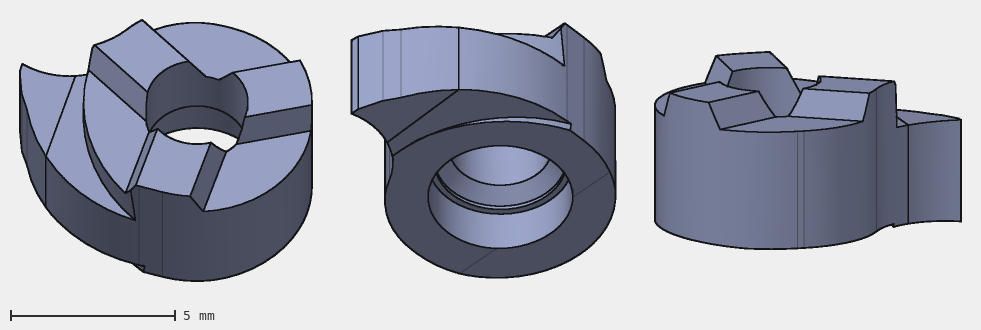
import cadquery as cq
import math


body_radius = 3.5
body_height = 4.46
lug_height = 0.8
shoulder_z = body_height - lug_height

lug_count = 3
lug_top_width = 1.70
lug_base_width = 2.46
first_lug_angle = -90

bore_radius = 1.55
recess_top_z = 2.08
recess_radius = 2.0
cone_end_z = recess_top_z - (recess_radius - bore_radius)
mouth_radius = 2.2
mouth_top_z = 1.49

tip_x, tip_y = -5.8, 0.735
tip_bottom_z = -0.14
tip_top_z = 3.04
clearance_points = [(-5.79, 0.465), (-5.49, -0.29), (-5.19, -0.74)]
back_end_x = -0.76
neck_start_x = -0.2
neck_radius = 3.04
gullet_radius = 2.58
split_x = -4.13

flank_slope_x = 0.032
flank_slope_y = 0.0657
wall_center_x, wall_center_y = 1.40, 1.09
upper_wall_radius = 5.12
lower_wall_radius = 5.0

relief_start_x = 1.5
relief_depth = 0.09

margin = 10.0


def polar(center, radius, angle):
    return (center[0] + radius * math.cos(angle), center[1] + radius * math.sin(angle))


def outline():
    """Plan shape: a round body drawn out into a hooked tooth."""
    neck_center = (neck_start_x, body_radius - neck_radius)
    tip_dx = tip_x - neck_center[0]
    tip_dy = tip_y - neck_center[1]
    tip_distance = math.hypot(tip_dx, tip_dy)
    gullet_distance = neck_radius + gullet_radius
    cos_offset = (tip_distance**2 + gullet_distance**2 - gullet_radius**2) / (
        2 * tip_distance * gullet_distance
    )
    gullet_angle = math.atan2(tip_dy, tip_dx) - math.acos(cos_offset)
    gullet_center = polar(neck_center, gullet_distance, gullet_angle)
    neck_end = polar(neck_center, neck_radius, gullet_angle)
    neck_middle = polar(neck_center, neck_radius, (math.pi / 2 + gullet_angle) / 2)
    tip_angle = math.atan2(tip_y - gullet_center[1], tip_x - gullet_center[0])
    gullet_middle = polar(gullet_center, gullet_radius, (gullet_angle - math.pi + tip_angle) / 2)

    back_start_x, back_start_y = clearance_points[-1]
    run = back_end_x - back_start_x
    rise = back_start_y + body_radius
    back_radius = (run**2 + rise**2) / (2 * rise)
    back_center = (back_end_x, back_radius - body_radius)
    back_angle = math.atan2(back_start_y - back_center[1], back_start_x - back_center[0])
    back_middle = polar(back_center, back_radius, (back_angle - math.pi / 2) / 2)

    return (
        cq.Workplane("XY", origin=(0, 0, tip_bottom_z))
        .moveTo(tip_x, tip_y)
        .lineTo(*clearance_points[0])
        .lineTo(*clearance_points[1])
        .lineTo(*clearance_points[2])
        .threePointArc(back_middle, (back_end_x, -body_radius))
        .lineTo(0, -body_radius)
        .threePointArc((body_radius, 0), (0, body_radius))
        .lineTo(neck_start_x, body_radius)
        .threePointArc(neck_middle, neck_end)
        .threePointArc(gullet_middle, (tip_x, tip_y))
        .close()
    )


def lug(angle):
    """Tapered radial bar, seated on the shoulder and running out from the axis."""
    profile = [
        (-lug_base_width / 2, shoulder_z),
        (lug_base_width / 2, shoulder_z),
        (lug_top_width / 2, body_height),
        (-lug_top_width / 2, body_height),
    ]
    bar = cq.Workplane("YZ").polyline(profile).close().extrude(margin)
    return bar.rotate((0, 0, 0), (0, 0, 1), angle)


def flank_workplane(tip_z, side):
    """Plane through the tip, facing up (side = 1) or down (side = -1)."""
    drop = flank_slope_x * (wall_center_x - tip_x) - flank_slope_y * (wall_center_y - tip_y)
    origin = (wall_center_x, wall_center_y, tip_z - side * drop)
    normal = (flank_slope_x, -flank_slope_y, side)
    return cq.Workplane(cq.Plane(origin=origin, xDir=(1, 0, -side * flank_slope_x), normal=normal))


def flank_cutter(tip_z, side, wall_radius):
    plane = flank_workplane(tip_z, side)
    outside = plane.rect(2 * margin, 2 * margin).extrude(margin)
    return outside.cut(plane.circle(wall_radius).extrude(margin))


def underside_trim():
    """Levels the underside inside the lower flank wall."""
    core = flank_workplane(tip_bottom_z, -1).circle(lower_wall_radius).extrude(margin, both=True)
    below = cq.Workplane("XY").rect(2 * margin, 2 * margin).extrude(-margin)
    return core.intersect(below)


def underside_relief():
    """Thin wedge cut away along the underside toward +X."""
    profile = [(relief_start_x, 0), (body_radius, relief_depth), (body_radius, 0)]
    return cq.Workplane("XZ").polyline(profile).close().extrude(margin, both=True)


def bore():
    """Stepped bore: plain at the top, coned out to the recess and its wider mouth."""
    profile = [
        (0, tip_bottom_z),
        (mouth_radius, tip_bottom_z),
        (mouth_radius, mouth_top_z),
        (recess_radius, mouth_top_z),
        (recess_radius, cone_end_z),
        (bore_radius, recess_top_z),
        (bore_radius, body_height),
        (0, body_height),
    ]
    return cq.Workplane("XZ").polyline(profile).close().revolve(360, (0, 0, 0), (0, 1, 0))


def cutter_blank():
    """Holder and tooth tip together, before they are parted."""
    blank = outline().extrude(shoulder_z - tip_bottom_z)
    for index in range(lug_count):
        blank = blank.union(lug(first_lug_angle + index * 360 / lug_count))
    blank = blank.intersect(outline().extrude(body_height - tip_bottom_z))
    blank = blank.cut(flank_cutter(tip_top_z, 1, upper_wall_radius))
    blank = blank.cut(flank_cutter(tip_bottom_z, -1, lower_wall_radius))
    blank = blank.cut(underside_trim())
    blank = blank.cut(underside_relief())
    return blank.cut(bore())


def tip_region():
    """Everything on the tooth side of the plane where the tip meets the holder."""
    block = cq.Workplane("XY").box(margin, 2 * margin, 2 * margin)
    return block.translate((split_x - margin / 2, 0, 0))


blank = cutter_blank()
holder = blank.cut(tip_region())
tooth_tip = blank.intersect(tip_region())

result = cq.Compound.makeCompound([holder.val(), tooth_tip.val()])